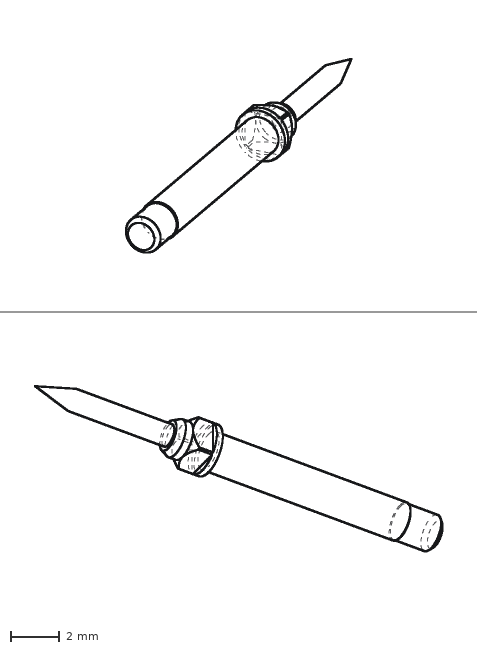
import cadquery as cq

total_length = 19.5
point_length = 1.83
stem_diameter = 1.0
collar_front_diameter = 1.35
barrel_diameter = 1.7
flange_diameter = 2.3
tail_diameter = 1.62
tail_chamfer = 0.2

collar_start = 6.5
collar_cone_end = 6.85
head_start = 7.2
flange_start = 8.17
flange_thickness = 0.3
barrel_end = 17.82

barrel_chamfer = (barrel_diameter - tail_diameter) / 2
flange_end = flange_start + flange_thickness
point_y = total_length / 2


def round_section(sections):
    """Revolve (distance from the point, diameter) pairs about the Y axis."""
    first_distance = sections[0][0]
    last_distance = sections[-1][0]
    profile = cq.Workplane("XY").moveTo(0, point_y - first_distance)
    for distance, diameter in sections:
        if diameter > 0:
            profile = profile.lineTo(diameter / 2, point_y - distance)
    profile = profile.lineTo(0, point_y - last_distance).close()
    return profile.revolve(360, (0, 0, 0), (0, 1, 0))


def pointed_stem_and_collar():
    return round_section([
        (0, 0),
        (point_length, stem_diameter),
        (collar_start, stem_diameter),
        (collar_start, collar_front_diameter),
        (collar_cone_end, barrel_diameter),
        (head_start, barrel_diameter),
    ])


def square_head():
    """Square block with corners rounded to the flange and a 45 degree cone at its front."""
    head_length = flange_start - head_start
    cone_length = (flange_diameter - barrel_diameter) / 2
    block = cq.Workplane("XY").box(barrel_diameter, head_length, barrel_diameter)
    block = block.translate((0, point_y - head_start - head_length / 2, 0))
    envelope = round_section([
        (head_start, barrel_diameter),
        (head_start + cone_length, flange_diameter),
        (flange_start, flange_diameter),
    ])
    return block.intersect(envelope)


def flange_barrel_and_tail():
    return round_section([
        (flange_start, flange_diameter),
        (flange_end, flange_diameter),
        (flange_end, barrel_diameter),
        (barrel_end - barrel_chamfer, barrel_diameter),
        (barrel_end, tail_diameter),
        (total_length - tail_chamfer, tail_diameter),
        (total_length, tail_diameter - 2 * tail_chamfer),
    ])


result = pointed_stem_and_collar().union(square_head()).union(flange_barrel_and_tail())